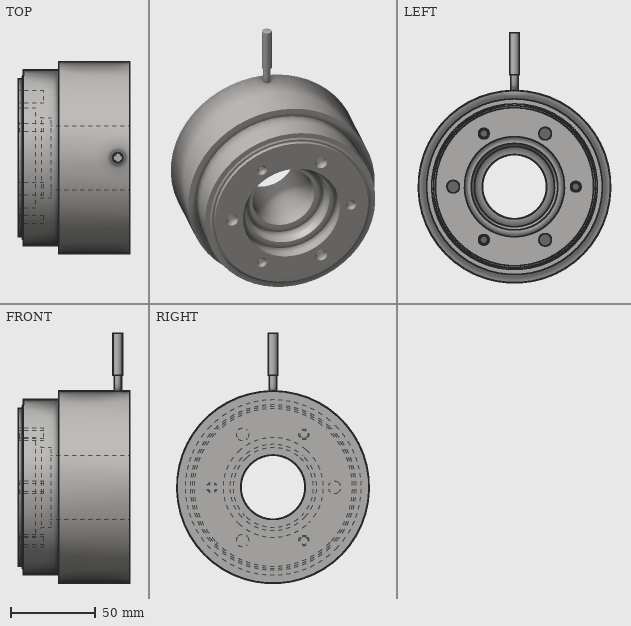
import cadquery as cq
import math

total_length = 66.3
total_height = 148.6

body_radius = 57.13
body_start = 24.0
collar_radius = 52.2
collar_start = 3.1
spigot_radius = 47.0
seat_start = 2.5
seat_radius = 48.1
seat_cone_radius = 49.2

recess_radius = 29.7
recess_depth = 10.3
cone_mouth_radius = 25.7
cone_end_depth = 13.8
seat_bore_radius = 23.8
seat_bore_depth = 19.3
through_radius = 19.0

hole_circle_radius = 36.4
holes_per_set = 3
hole_depth = 14.9
plain_radius = 3.7
screw_radius = 2.4
screw_mouth_radius = 3.1

stub_x = 59.1
cable_radius = 2.2
sleeve_radius = 2.9
sleeve_length = 25.1
stub_root_depth = 3.0

stub_top = total_height - body_radius


def make_ring():
    """Revolve the ring's half section about the X axis."""
    section = [
        (0, recess_radius),
        (0, spigot_radius),
        (seat_start, spigot_radius),
        (seat_start, seat_radius),
        (collar_start, seat_cone_radius),
        (collar_start, collar_radius),
        (body_start, collar_radius),
        (body_start, body_radius),
        (total_length, body_radius),
        (total_length, through_radius),
        (seat_bore_depth, through_radius),
        (seat_bore_depth, seat_bore_radius),
        (cone_end_depth, seat_bore_radius),
        (recess_depth, cone_mouth_radius),
        (recess_depth, recess_radius),
    ]
    return cq.Workplane("XZ").polyline(section).close().revolve(360, (0, 0, 0), (1, 0, 0))


def hole_centres(start_angle):
    """Centres (y, z) of one hole set; angles run from +Y toward +Z."""
    angles = [math.radians(start_angle + i * 360 / holes_per_set) for i in range(holes_per_set)]
    return [(hole_circle_radius * math.cos(a), hole_circle_radius * math.sin(a)) for a in angles]


def make_plain_holes():
    return cq.Workplane("YZ").pushPoints(hole_centres(0)).circle(plain_radius).extrude(hole_depth)


def make_screw_holes():
    centres = hole_centres(180)
    holes = cq.Workplane("YZ").pushPoints(centres).circle(screw_radius).extrude(hole_depth)
    countersink_depth = screw_mouth_radius - screw_radius
    for y, z in centres:
        countersink = cq.Solid.makeCone(
            screw_mouth_radius, screw_radius, countersink_depth,
            pnt=cq.Vector(0, y, z), dir=cq.Vector(1, 0, 0),
        )
        holes = holes.union(cq.Workplane(countersink))
    return holes


def make_cable_stub():
    root = body_radius - stub_root_depth
    cable = cq.Workplane("XY", origin=(stub_x, 0, root)).circle(cable_radius).extrude(stub_top - root)
    sleeve = cq.Workplane("XY", origin=(stub_x, 0, stub_top)).circle(sleeve_radius).extrude(-sleeve_length)
    return cable.union(sleeve)


result = (
    make_ring()
    .cut(make_plain_holes())
    .cut(make_screw_holes())
    .union(make_cable_stub())
)